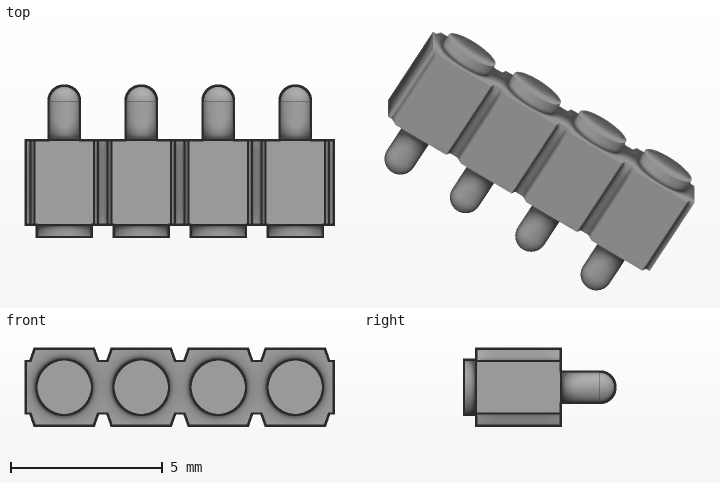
import cadquery as cq

contact_count = 4
pitch = 2.54

housing_length = contact_count * pitch
housing_height = 2.54
housing_depth = 2.8
notch_depth = 0.4
notch_floor_width = 0.3
notch_mouth_width = 0.58

head_diameter = 1.83
head_projection = 0.4
plunger_diameter = 1.05
plunger_projection = 1.8

housing_back = housing_depth
plunger_tip = housing_back + plunger_projection
plunger_radius = plunger_diameter / 2
dome_start = plunger_tip - plunger_radius
dome_mid_offset = plunger_radius * 0.5 ** 0.5

contact_positions = [(i - (contact_count - 1) / 2) * pitch for i in range(contact_count)]
cell_boundaries = [(i - contact_count / 2) * pitch for i in range(contact_count + 1)]


def notch_cutter(x, side):
    """Trapezoidal groove along Y at a cell boundary; side is +1 for top, -1 for bottom."""
    mouth_z = side * housing_height / 2
    floor_z = side * (housing_height / 2 - notch_depth)
    return (
        cq.Workplane("XZ")
        .moveTo(x - notch_mouth_width / 2, mouth_z)
        .lineTo(x - notch_floor_width / 2, floor_z)
        .lineTo(x + notch_floor_width / 2, floor_z)
        .lineTo(x + notch_mouth_width / 2, mouth_z)
        .close()
        .extrude(-housing_depth)
    )


def make_contact(x):
    """Solid of revolution about an axis parallel to Y: head, shank and domed tip."""
    head_radius = head_diameter / 2
    return (
        cq.Workplane("XY")
        .moveTo(0, -head_projection)
        .lineTo(head_radius, -head_projection)
        .lineTo(head_radius, 0)
        .lineTo(plunger_radius, 0)
        .lineTo(plunger_radius, dome_start)
        .threePointArc((dome_mid_offset, dome_start + dome_mid_offset), (0, plunger_tip))
        .close()
        .revolve(360, (0, 0, 0), (0, 1, 0))
        .translate((x, 0, 0))
    )


def make_housing():
    """Bar with notches at every cell boundary and a through hole for each contact."""
    body = cq.Workplane("XY").box(
        housing_length, housing_depth, housing_height, centered=(True, False, True)
    )
    for x in cell_boundaries:
        for side in (1, -1):
            body = body.cut(notch_cutter(x, side))
    holes = (
        cq.Workplane("XZ")
        .pushPoints([(x, 0) for x in contact_positions])
        .circle(plunger_radius)
        .extrude(-housing_depth)
    )
    return body.cut(holes)


housing = make_housing()
contacts = [make_contact(x) for x in contact_positions]

result = cq.Compound.makeCompound([housing.val(), *[contact.val() for contact in contacts]])